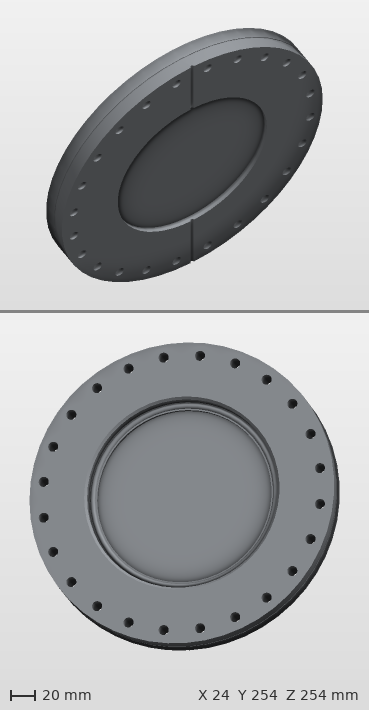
import cadquery as cq
import math

flange_diameter = 254.0
flange_thickness = 24.0
front_x = -flange_thickness / 2
back_x = flange_thickness / 2

rim_groove_width = 1.0
rim_groove_depth = 0.5

mouth_diameter = 158.8
mouth_chamfer = 2.0
lip_outer_diameter = 157.0
lip_inner_diameter = 147.8
window_diameter = 145.3
lip_height = 1.8
ledge_depth = 10.7
window_depth = 13.7
window_thickness = 5.0

bolt_count = 24
bolt_hole_diameter = 8.5
bolt_circle_diameter = 232.2

leak_groove_radius = 1.5


def make_flange_blank():
    """Revolve the flange section about X; sketch coordinates are (axial, radial)."""
    outer_r = flange_diameter / 2
    mouth_r = mouth_diameter / 2
    lip_outer_r = lip_outer_diameter / 2
    lip_inner_r = lip_inner_diameter / 2
    bore_r = window_diameter / 2
    groove_r = outer_r - rim_groove_depth
    half_groove = rim_groove_width / 2

    ledge_x = front_x + ledge_depth
    lip_crest = (ledge_x - lip_height, (lip_outer_r + lip_inner_r) / 2)

    section = (
        cq.Workplane("XY")
        .moveTo(front_x, mouth_r + mouth_chamfer)
        .lineTo(front_x, outer_r)
        .lineTo(-half_groove, outer_r)
        .lineTo(-half_groove, groove_r)
        .lineTo(half_groove, groove_r)
        .lineTo(half_groove, outer_r)
        .lineTo(back_x, outer_r)
        .lineTo(back_x, bore_r)
        .lineTo(ledge_x, bore_r)
        .lineTo(ledge_x, lip_inner_r)
        .threePointArc(lip_crest, (ledge_x, lip_outer_r))
        .lineTo(ledge_x, mouth_r)
        .lineTo(front_x + mouth_chamfer, mouth_r)
        .close()
    )
    return section.revolve(360, (0, 0, 0), (1, 0, 0))


def make_bolt_holes():
    """Through-hole cutters, with the Y and Z axes midway between neighbouring holes."""
    pitch = 360 / bolt_count
    radius = bolt_circle_diameter / 2
    centres = []
    for index in range(bolt_count):
        angle = math.radians((index + 0.5) * pitch)
        centres.append((radius * math.cos(angle), radius * math.sin(angle)))
    return (
        cq.Workplane("YZ", origin=(front_x, 0, 0))
        .pushPoints(centres)
        .circle(bolt_hole_diameter / 2)
        .extrude(flange_thickness)
    )


def make_leak_groove():
    """Cutter running along Z across the whole sealing face."""
    return (
        cq.Workplane("XY", origin=(back_x, 0, 0))
        .circle(leak_groove_radius)
        .extrude(flange_diameter / 2, both=True)
    )


def make_flange():
    return make_flange_blank().cut(make_bolt_holes()).cut(make_leak_groove())


def make_window():
    """Flat disc that fills the window bore just behind the ledge."""
    return (
        cq.Workplane("YZ", origin=(front_x + window_depth, 0, 0))
        .circle(window_diameter / 2)
        .extrude(window_thickness)
    )


flange = make_flange()
window = make_window()

result = cq.Compound.makeCompound([flange.val(), window.val()])